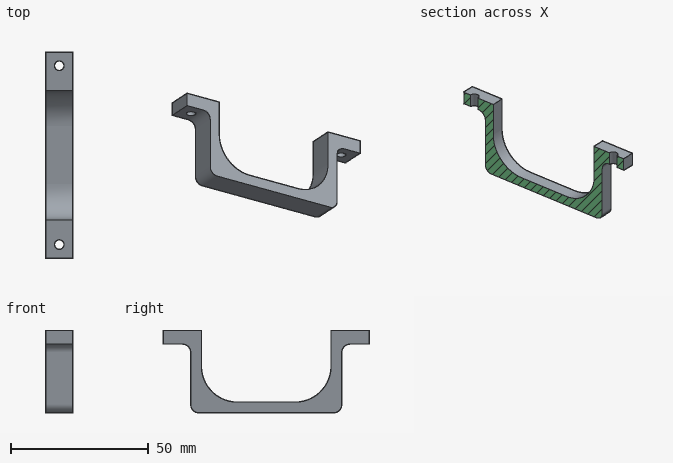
import cadquery as cq

length = 75.0
width = 10.0
height = 30.0
flange_thickness = 5.0
body_length = 55.0
wall_thickness = 4.0
outer_radius = 3.0
inner_radius = 13.0
hole_diameter = 3.4
hole_spacing = 65.0

flange_underside = height - flange_thickness
opening_length = body_length - 2 * wall_thickness


def centred_block(block_length, bottom, top):
    """Block across the full width, spanning two heights."""
    block = cq.Workplane("XY").box(width, block_length, top - bottom, centered=(True, True, False))
    return block.translate((0, 0, bottom))


def make_outer_body():
    """Flanges joined to the body, with rounded bottom and flange corners."""
    body = centred_block(body_length, 0, height)
    flanges = centred_block(length, flange_underside, height)
    body = body.union(flanges)
    for side in (-1, 1):
        for corner_height in (0, flange_underside):
            corner = (0, side * body_length / 2, corner_height)
            body = body.edges(cq.selectors.NearestToPointSelector(corner)).fillet(outer_radius)
    return body


def make_opening():
    """Hand opening through the width, open at the top, with large bottom radii."""
    opening = centred_block(opening_length, wall_thickness, height)
    return opening.edges("|X and <Z").fillet(inner_radius)


def make_screw_holes():
    """One vertical through hole in each flange."""
    hole_centres = [(0, -hole_spacing / 2), (0, hole_spacing / 2)]
    return cq.Workplane("XY").pushPoints(hole_centres).circle(hole_diameter / 2).extrude(height)


result = make_outer_body().cut(make_opening()).cut(make_screw_holes())